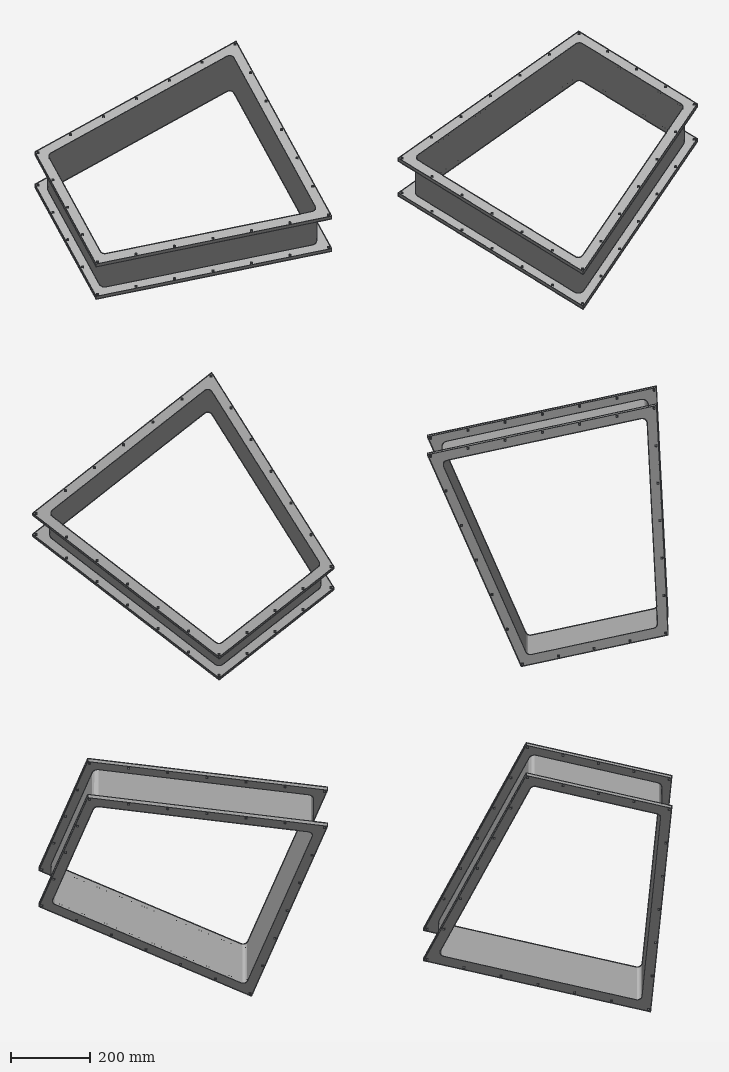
import cadquery as cq
import math

wide_width = 588.0
length = 598.0
side_angle = math.radians(10.0)
narrow_width = wide_width - 2 * length * math.tan(side_angle)

total_height = 152.5
flange_thickness = 12.5

wall_outer_inset = 22.0
wall_thickness = 3.35
wall_inner_inset = wall_outer_inset + wall_thickness
hole_inset = 6.0

outer_corner_radius = 15.5
inner_corner_radius = outer_corner_radius - wall_thickness

hole_diameter = 5.1
wide_edge_spaces = 6
narrow_edge_spaces = 4
slanted_edge_spaces = 6


def trapezoid_corners(inset):
    """Corners of the outer trapezoid moved inward, counter-clockwise from -X -Y."""
    y = length / 2 - inset
    middle_half_width = (wide_width + narrow_width) / 4 - inset / math.cos(side_angle)
    taper = y * math.tan(side_angle)
    narrow_half = middle_half_width - taper
    wide_half = middle_half_width + taper
    return [(-narrow_half, -y), (narrow_half, -y), (wide_half, y), (-wide_half, y)]


def trapezoid_prism(inset, height, bottom=0.0):
    """Solid trapezoid, inset from the outer edges, standing on the height bottom."""
    outline = trapezoid_corners(inset)
    return cq.Workplane("XY", origin=(0, 0, bottom)).polyline(outline).close().extrude(height)


def rounded_prism(inset, radius):
    """Full-height trapezoid with its upright corners rounded."""
    return trapezoid_prism(inset, total_height).edges("|Z").fillet(radius)


def bolt_positions():
    """Evenly spaced holes along each edge, each corner counted once."""
    corners = trapezoid_corners(hole_inset)
    spaces = [narrow_edge_spaces, slanted_edge_spaces, wide_edge_spaces, slanted_edge_spaces]
    positions = []
    for index, count in enumerate(spaces):
        x0, y0 = corners[index]
        x1, y1 = corners[(index + 1) % len(corners)]
        for step in range(count):
            t = step / count
            positions.append((x0 + t * (x1 - x0), y0 + t * (y1 - y0)))
    return positions


bottom_flange = trapezoid_prism(0, flange_thickness)
top_flange = trapezoid_prism(0, flange_thickness, total_height - flange_thickness)
wall = rounded_prism(wall_outer_inset, outer_corner_radius)
frame = wall.union(bottom_flange).union(top_flange)

frame = frame.cut(rounded_prism(wall_inner_inset, inner_corner_radius))

bolt_holes = (
    cq.Workplane("XY")
    .pushPoints(bolt_positions())
    .circle(hole_diameter / 2)
    .extrude(total_height)
)
result = frame.cut(bolt_holes)